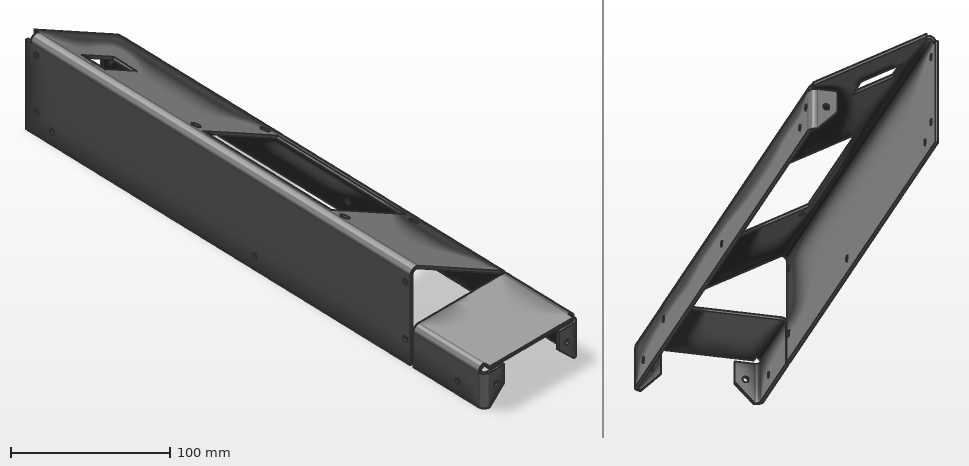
import cadquery as cq
import math

LENGTH = 412.0
WIDTH = 83.5
HEIGHT = 75.0

SHEET = 2.0
BEND_RADIUS = 5.0
INNER_RADIUS = BEND_RADIUS - SHEET
BEND_Y = WIDTH / 2 - BEND_RADIUS

TALL_LENGTH = 345.5
SLIT_WIDTH = 2.5
LOW_START = TALL_LENGTH + SLIT_WIDTH
SLOPE = 30.0
RIDGE_Z = HEIGHT - BEND_RADIUS
EAVE_Z = RIDGE_Z - 2 * BEND_Y * math.tan(math.radians(SLOPE))
LOW_HEIGHT = 32.0
LOW_BEND_Z = LOW_HEIGHT - BEND_RADIUS

RELIEF_LENGTH = 4.0
COVER_EDGE_OFFSET = BEND_RADIUS * math.sin(math.radians(SLOPE))

TAB_HEIGHT = LOW_BEND_Z
TAB_REACH = 17.7
TAB_HOLE_INSET = 10.7
TAB_HOLE_Z = 15.5
TAB_SLANT_TOP = TAB_REACH - BEND_RADIUS

HOLE_DIAMETER = 4.0
THROUGH_WALL_HOLES = [(9.5, 18.0), (341.0, 18.0), (23.5, 10.5), (205.5, 10.5), (388.0, 10.5)]
FRONT_WALL_HOLES = [(9.5, 63.0), (341.0, 63.0)]

COVER_WINDOWS = [(148.5, 263.5, -31.0, 34.0), (36.5, 57.5, -28.5, -1.0)]
SCREW_XS = (139.3, 273.0)
SCREW_YS = (-28.5, 32.0)
SCREW_DIAMETER = 4.0
COUNTERSINK_DIAMETER = 6.5
COUNTERSINK_ANGLE = 90.0


def box(x0, x1, y0, y1, z0, z1):
    return cq.Workplane("XY").box(x1 - x0, y1 - y0, z1 - z0, centered=False).translate((x0, y0, z0))


def hood_solid(x0, x1, front_z, back_z, slope, radius):
    """Solid under two walls and a cover, rounded about the two bend axes."""
    def rim(y, z, degrees):
        angle = math.radians(degrees)
        return (y + radius * math.cos(angle), z + radius * math.sin(angle))

    normal = 90 - slope
    return (
        cq.Workplane("YZ", origin=(x0, 0, 0))
        .moveTo(-BEND_Y - radius, 0)
        .lineTo(-BEND_Y - radius, front_z)
        .threePointArc(rim(-BEND_Y, front_z, (180 + normal) / 2), rim(-BEND_Y, front_z, normal))
        .lineTo(*rim(BEND_Y, back_z, normal))
        .threePointArc(rim(BEND_Y, back_z, normal / 2), rim(BEND_Y, back_z, 0))
        .lineTo(BEND_Y + radius, 0)
        .close()
        .extrude(x1 - x0)
    )


def hood(x0, x1, front_z, back_z, slope):
    outer = hood_solid(x0, x1, front_z, back_z, slope, BEND_RADIUS)
    return outer.cut(hood_solid(x0, x1, front_z, back_z, slope, INNER_RADIUS))


def end_tab(top):
    """Tab at the X = LENGTH end of the front wall, with its corner bend."""
    bend_x = LENGTH - BEND_RADIUS
    outer_y = -WIDTH / 2
    bend = (
        cq.Workplane("XY", origin=(bend_x, -BEND_Y, 0))
        .circle(BEND_RADIUS)
        .circle(INNER_RADIUS)
        .extrude(top)
        .intersect(box(bend_x, LENGTH, outer_y, -BEND_Y, 0, top))
    )
    plate = (
        cq.Workplane("YZ", origin=(LENGTH - SHEET, 0, 0))
        .polyline([
            (-BEND_Y, 0),
            (outer_y + TAB_REACH, TAB_SLANT_TOP),
            (outer_y + TAB_REACH, top),
            (-BEND_Y, top),
        ])
        .close()
        .extrude(SHEET)
    )
    hole = (
        cq.Workplane("YZ", origin=(LENGTH - SHEET, 0, 0))
        .center(outer_y + TAB_HOLE_INSET, TAB_HOLE_Z)
        .circle(HOLE_DIAMETER / 2)
        .extrude(SHEET)
    )
    return bend.union(plate).cut(hole)


def wall_holes(places, y0, y1):
    return (
        cq.Workplane("XZ", origin=(0, y1, 0))
        .pushPoints(places)
        .circle(HOLE_DIAMETER / 2)
        .extrude(y1 - y0)
    )


def tall_section():
    body = hood(0, TALL_LENGTH, RIDGE_Z, EAVE_Z, SLOPE)
    body = body.cut(box(0, RELIEF_LENGTH, -WIDTH / 2, -BEND_Y + COVER_EDGE_OFFSET, RIDGE_Z, HEIGHT))
    body = body.cut(box(0, RELIEF_LENGTH, BEND_Y + COVER_EDGE_OFFSET, WIDTH / 2, EAVE_Z, HEIGHT))
    body = body.cut(box(0, BEND_RADIUS, BEND_Y, WIDTH / 2, 0, EAVE_Z))
    back_tab = end_tab(TAB_HEIGHT).rotate((LENGTH / 2, 0, 0), (LENGTH / 2, 0, 1), 180)
    return body.union(back_tab)


def low_section():
    body = hood(LOW_START, LENGTH, LOW_BEND_Z, LOW_BEND_Z, 0)
    front_tab = end_tab(TAB_HEIGHT)
    corner = box(LENGTH - BEND_RADIUS, LENGTH, -WIDTH / 2, -BEND_Y, 0, LOW_HEIGHT)
    body = body.cut(corner).cut(corner.mirror("XZ"))
    return body.union(front_tab).union(front_tab.mirror("XZ"))


def cover_cutters():
    """Openings cut square to the sloping cover."""
    cos_slope = math.cos(math.radians(SLOPE))
    surface_z = (RIDGE_Z + EAVE_Z) / 2 + BEND_RADIUS / cos_slope
    normal = (0, math.sin(math.radians(SLOPE)), cos_slope)
    plane = cq.Workplane(cq.Plane((0, 0, surface_z), (1, 0, 0), normal))
    depth = 2 * SHEET
    screws = [(x, y / cos_slope) for x in SCREW_XS for y in SCREW_YS]
    sink_depth = (COUNTERSINK_DIAMETER - SCREW_DIAMETER) / 2 / math.tan(math.radians(COUNTERSINK_ANGLE / 2))

    cutters = plane.pushPoints(screws).circle(SCREW_DIAMETER / 2).extrude(-depth)
    sinks = (
        plane.pushPoints(screws)
        .circle(COUNTERSINK_DIAMETER / 2)
        .extrude(-sink_depth, taper=COUNTERSINK_ANGLE / 2)
    )
    cutters = cutters.union(sinks)
    for x0, x1, y0, y1 in COVER_WINDOWS:
        window = (
            plane.center((x0 + x1) / 2, (y0 + y1) / 2 / cos_slope)
            .rect(x1 - x0, (y1 - y0) / cos_slope)
            .extrude(-depth)
        )
        cutters = cutters.union(window)
    return cutters


bridge = box(TALL_LENGTH, LOW_START, WIDTH / 2 - SHEET, WIDTH / 2, 0, LOW_BEND_Z)

result = (
    tall_section()
    .union(bridge)
    .union(low_section())
    .cut(cover_cutters())
    .cut(wall_holes(THROUGH_WALL_HOLES, -WIDTH / 2, WIDTH / 2))
    .cut(wall_holes(FRONT_WALL_HOLES, -WIDTH / 2, -BEND_Y))
)